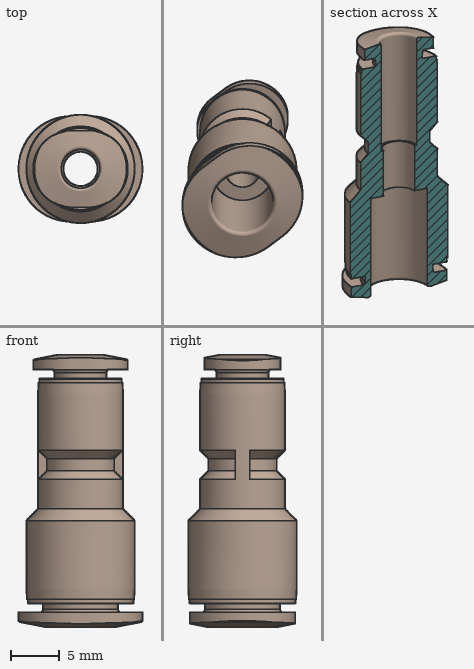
import cadquery as cq
import math

total_height = 28.1

large_diameter = 11.2
small_diameter = 8.8
body_bottom = 2.42
body_top = 25.65
shoulder_bottom = 11.0
end_taper_length = 1.5
end_taper_drop = 0.06
end_ring_length = 0.45
end_ring_step = 0.07
end_ring_chamfer = 0.07

groove_bottom = 15.25
groove_top = 18.25
groove_depth = 0.86
rib_width = 1.45

cone_angle = 11.0
flange_thickness = 1.55
neck_flare_width = 0.12
neck_flare_length = 0.3
neck_overlap = 0.5
flange_chamfer = 0.2
turning_allowance = 0.05
flat_half_length = 0.95

small_neck_diameter = 5.37
small_flange_width = 7.88
small_mouth_diameter = 4.6
large_neck_diameter = 7.75
large_flange_width = 10.9
large_mouth_diameter = 7.1

through_diameter = 3.5
small_bore_diameter = 3.97
large_bore_diameter = 6.35
small_bore_floor = groove_bottom + groove_depth
large_bore_ceiling = shoulder_bottom


def revolve_profile(points):
    """Turn a closed (radius, z) outline about the Z axis."""
    return cq.Workplane("XZ").polyline(points).close().revolve(360, (0, 0, 0), (0, 1, 0))


def end_outline(radius, end_z, outward):
    """Points of one body end, from the axis out to the full radius; outward is +1 for up, -1 for down."""
    taper_radius = radius - end_taper_drop
    ring_radius = taper_radius - end_ring_step
    ledge_z = end_z - outward * end_ring_length
    return [
        (0, end_z),
        (ring_radius - end_ring_chamfer, end_z),
        (ring_radius, end_z - outward * end_ring_chamfer),
        (ring_radius, ledge_z),
        (taper_radius, ledge_z),
        (radius, end_z - outward * end_taper_length),
    ]


def make_body():
    large_radius = large_diameter / 2
    small_radius = small_diameter / 2
    shoulder_top = shoulder_bottom + large_radius - small_radius
    lower_end = end_outline(large_radius, body_bottom, -1)
    upper_end = end_outline(small_radius, body_top, 1)
    shoulder = [(large_radius, shoulder_bottom), (small_radius, shoulder_top)]
    return revolve_profile(lower_end + shoulder + upper_end[::-1])


def make_waist_cutter():
    """Ring with 45 degree flanks, split by the two ribs on the X axis."""
    outer = small_diameter / 2
    floor = outer - groove_depth
    ring = revolve_profile([
        (outer, groove_bottom),
        (floor, groove_bottom + groove_depth),
        (floor, groove_top - groove_depth),
        (outer, groove_top),
    ])
    ribs = cq.Workplane("XY").box(2 * large_diameter, rib_width, 2 * total_height)
    return ring.cut(ribs)


def make_button(neck_diameter, flange_width, mouth_diameter):
    """Release button with its outer face on Z = 0, pointing down, neck reaching up into the body."""
    neck_radius = neck_diameter / 2
    flare_radius = neck_radius + neck_flare_width
    neck_root = flange_thickness / 2
    neck_end = body_bottom + neck_overlap
    mouth_radius = mouth_diameter / 2
    edge_radius = flange_width / 2 + flat_half_length + turning_allowance
    face_radius = edge_radius - flange_chamfer
    face_height = (face_radius - mouth_radius) * math.tan(math.radians(cone_angle))
    disc = revolve_profile([
        (0, 0),
        (mouth_radius, 0),
        (face_radius, face_height),
        (edge_radius, face_height + flange_chamfer),
        (edge_radius, flange_thickness),
        (0, flange_thickness),
    ])
    flange_outline = (
        cq.Workplane("XY")
        .slot2D(flange_width + 2 * flat_half_length, flange_width)
        .extrude(flange_thickness)
    )
    neck = revolve_profile([
        (0, neck_root),
        (flare_radius, neck_root),
        (flare_radius, flange_thickness),
        (neck_radius, flange_thickness + neck_flare_length),
        (neck_radius, neck_end),
        (0, neck_end),
    ])
    return disc.intersect(flange_outline).union(neck)


def make_bore(bore_diameter, mouth_diameter, depth):
    """Bore cutter starting at Z = 0 and running up, with a rounded mouth."""
    bore_radius = bore_diameter / 2
    mouth_radius = mouth_diameter / 2
    rounding = mouth_radius - bore_radius
    bend = rounding * (1 - math.sqrt(0.5))
    return (
        cq.Workplane("XZ")
        .moveTo(0, 0)
        .lineTo(mouth_radius, 0)
        .threePointArc((bore_radius + bend, bend), (bore_radius, rounding))
        .lineTo(bore_radius, depth)
        .lineTo(0, depth)
        .close()
        .revolve(360, (0, 0, 0), (0, 1, 0))
    )


def place_on_top(shape):
    """Turn a shape made for the bottom end over and move it to the top end."""
    return shape.rotate((0, 0, 0), (1, 0, 0), 180).translate((0, 0, total_height))


large_button = make_button(large_neck_diameter, large_flange_width, large_mouth_diameter)
small_button = make_button(small_neck_diameter, small_flange_width, small_mouth_diameter)
large_bore = make_bore(large_bore_diameter, large_mouth_diameter, large_bore_ceiling)
small_bore = make_bore(small_bore_diameter, small_mouth_diameter, total_height - small_bore_floor)
through_hole = cq.Workplane("XY").circle(through_diameter / 2).extrude(total_height)

result = (
    make_body()
    .cut(make_waist_cutter())
    .union(large_button)
    .union(place_on_top(small_button))
    .cut(large_bore)
    .cut(place_on_top(small_bore))
    .cut(through_hole)
)